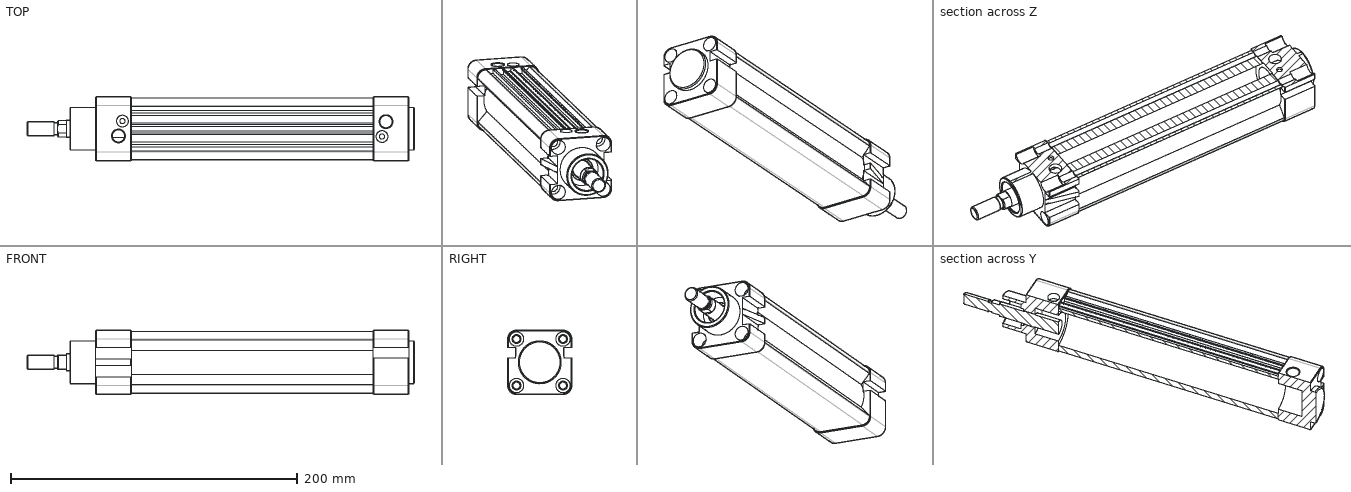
import cadquery as cq
import math


rod_projection = 48.0
body_length = 219.0
cap_length = 25.0
barrel_length = body_length - 2 * cap_length
front_collar_length = 18.0
rear_collar_length = 4.0
front_cap_start = rod_projection
barrel_start = front_cap_start + cap_length
rear_cap_start = barrel_start + barrel_length
rear_cap_end = rear_cap_start + cap_length

cap_half = 22.5
cap_corner_radius = 6.25
cap_chamfer = 0.5
collar_diameter = 30.0
collar_chamfer = 0.6
rear_collar_chamfer = 0.8
chamber_diameter = 24.0
chamber_length = 18.0

screw_offset = cap_half - cap_corner_radius
screw_hole_diameter = 6.2
screw_recess_diameter = 10.0
barrel_hole_diameter = 4.8
screw_recess_depth = 14.0

side_floor = 16.8
slot_top = 10.2
rear_slot_bottom = 3.1
rib_half_width = 2.2

port_diameter = 8.6
port_chamfer = 0.5
port_from_face = 16.0
port_offset = 5.0
cushion_recess_diameter = 8.2
cushion_recess_depth = 5.0
cushion_hole_diameter = 3.6
cushion_hole_depth = 9.0
cushion_from_face = 18.8
cushion_offset = 5.4

recess_diameter = 22.8
recess_depth = 14.0
recess_chamfer = 0.6
seal_seat_diameter = 15.6
seal_seat_depth = 2.0
rod_relief_diameter = 13.0
rod_relief_depth = 1.0

rod_diameter = 12.0
thread_diameter = 10.0
thread_length = 19.0
thread_chamfer = 0.8
neck_diameter = 8.6
shoulder_start = 21.4
shoulder_diameter = 11.7
shoulder_end = 27.6
shoulder_chamfer = 0.7
flats_width = 10.0

bore_diameter = 32.0
barrel_half = 21.7
barrel_corner_radius = barrel_half - screw_offset
waist_radius = 17.5
side_lip = 15.6
waist_joint = 8.4
waist_joint_y = math.sqrt(waist_radius**2 - waist_joint**2)
trough_lip = 15.6
trough_bottom = 12.8
trough_depth = trough_lip - trough_bottom
land_edge = 10.9
sensor_slot_offset = 6.6
sensor_slot_mouth = 5.4
sensor_slot_width = 6.8
sensor_slot_lip = 1.0
sensor_slot_floor = 17.4
centre_groove_half = 3.0
centre_groove_floor_half = 1.5
centre_groove_bevel = centre_groove_half - centre_groove_floor_half
centre_groove_depth = 2.4


def axial_cylinder(diameter, start, length):
    return cq.Workplane("YZ", origin=(start, 0, 0)).circle(diameter / 2).extrude(length)


def box_between(x_range, y_range, z_range):
    corner = (x_range[0], y_range[0], z_range[0])
    size = (x_range[1] - x_range[0], y_range[1] - y_range[0], z_range[1] - z_range[0])
    return cq.Workplane("XY").box(*size, centered=False).translate(corner)


def corner_holes(diameter, start, length):
    return (
        cq.Workplane("YZ", origin=(start, 0, 0))
        .rect(2 * screw_offset, 2 * screw_offset, forConstruction=True)
        .vertices()
        .circle(diameter / 2)
        .extrude(length)
    )


def cap_block(start):
    side = 2 * cap_half
    block = cq.Workplane("YZ", origin=(start, 0, 0)).rect(side, side).extrude(cap_length)
    return block.edges("|X").fillet(cap_corner_radius).faces("<X or >X").chamfer(cap_chamfer)


def both_sides(shape):
    return shape.union(shape.mirror("XZ"))


def side_slot(start, z_bottom, z_top):
    x_range = (start, start + cap_length)
    return both_sides(box_between(x_range, (side_floor, cap_half), (z_bottom, z_top)))


def top_hole(x, y, diameter, floor):
    return cq.Workplane("XY", origin=(x, y, floor)).circle(diameter / 2).extrude(cap_half - floor)


def cut_top_holes(cap, face, inward):
    """Cut the port and the cushion screw; inward is +1 or -1, the way from the cap face into the cap."""
    port_x = face + inward * port_from_face
    cushion_x = face + inward * cushion_from_face
    cushion_y = inward * cushion_offset
    recess_floor = cap_half - cushion_recess_depth
    hole_floor = cap_half - cushion_hole_depth
    port_y = -inward * port_offset
    mouth = (
        cq.Workplane("XY", origin=(port_x, port_y, cap_half))
        .circle(port_diameter / 2 + port_chamfer)
        .extrude(-port_chamfer, taper=45)
    )
    cap = cap.cut(top_hole(port_x, port_y, port_diameter, 0))
    cap = cap.cut(mouth)
    cap = cap.cut(top_hole(cushion_x, cushion_y, cushion_recess_diameter, recess_floor))
    return cap.cut(top_hole(cushion_x, cushion_y, cushion_hole_diameter, hole_floor))


def side_rib():
    """Rib that rises from the slot floor at the front face to the full cap width at the barrel."""
    ramp = (
        cq.Workplane("XY", origin=(0, 0, -rib_half_width))
        .polyline([
            (front_cap_start, side_floor),
            (barrel_start, side_floor),
            (barrel_start, cap_half),
        ])
        .close()
        .extrude(2 * rib_half_width)
    )
    return both_sides(ramp).intersect(cap_block(front_cap_start))


def recess_mouth(face):
    mouth_radius = recess_diameter / 2 + recess_chamfer
    return cq.Workplane("YZ", origin=(face, 0, 0)).circle(mouth_radius).extrude(recess_chamfer, taper=45)


def make_front_cap():
    collar_start = front_cap_start - front_collar_length
    collar = axial_cylinder(collar_diameter, collar_start, front_collar_length)
    cap = cap_block(front_cap_start)
    cap = cap.cut(side_slot(front_cap_start, -slot_top, slot_top)).union(side_rib())
    cap = cap.union(collar.faces("<X").chamfer(collar_chamfer))
    cap = cap.cut(axial_cylinder(recess_diameter, collar_start, recess_depth))
    cap = cap.cut(recess_mouth(collar_start))
    seat_start = collar_start + recess_depth
    cap = cap.cut(axial_cylinder(seal_seat_diameter, seat_start, seal_seat_depth))
    relief_start = seat_start + seal_seat_depth
    cap = cap.cut(axial_cylinder(rod_relief_diameter, relief_start, rod_relief_depth))
    cap = cap.cut(axial_cylinder(rod_diameter, collar_start, barrel_start - collar_start))
    cap = cap.cut(axial_cylinder(chamber_diameter, barrel_start - chamber_length, chamber_length))
    cap = cap.cut(corner_holes(screw_hole_diameter, front_cap_start, cap_length))
    cap = cap.cut(corner_holes(screw_recess_diameter, front_cap_start, screw_recess_depth))
    return cut_top_holes(cap, front_cap_start, 1)


def make_rear_cap():
    collar = axial_cylinder(collar_diameter, rear_cap_end, rear_collar_length)
    cap = cap_block(rear_cap_start)
    cap = cap.cut(side_slot(rear_cap_start, rear_slot_bottom, slot_top))
    cap = cap.union(collar.faces(">X").chamfer(rear_collar_chamfer))
    cap = cap.cut(axial_cylinder(chamber_diameter, rear_cap_start, chamber_length))
    cap = cap.cut(corner_holes(screw_hole_diameter, rear_cap_start, cap_length))
    recess_start = rear_cap_end - screw_recess_depth
    cap = cap.cut(corner_holes(screw_recess_diameter, recess_start, screw_recess_depth))
    return cut_top_holes(cap, rear_cap_end, -1)


def barrel_plane():
    return cq.Workplane("YZ", origin=(barrel_start, 0, 0))


def side_waist():
    """Hollow along one side, between the 45 degree flanks and the round waist."""
    return (
        barrel_plane()
        .moveTo(barrel_half, side_lip)
        .lineTo(waist_joint_y, waist_joint)
        .threePointArc((waist_radius, 0), (waist_joint_y, -waist_joint))
        .lineTo(barrel_half, -side_lip)
        .close()
        .extrude(barrel_length)
    )


def top_trough():
    """Trough beside the top corner: sloped on the outside and upright on the inside."""
    return (
        barrel_plane()
        .polyline([
            (trough_lip, barrel_half),
            (trough_bottom, barrel_half - trough_depth),
            (land_edge, barrel_half - trough_depth),
            (land_edge, barrel_half),
        ])
        .close()
        .extrude(barrel_length)
    )


def slot_layer(width, z_bottom, z_top):
    y_range = (sensor_slot_offset - width / 2, sensor_slot_offset + width / 2)
    return box_between((barrel_start, rear_cap_start), y_range, (z_bottom, z_top))


def sensor_slot():
    """T slot, wider below its lips."""
    lip_bottom = barrel_half - sensor_slot_lip
    mouth = slot_layer(sensor_slot_mouth, sensor_slot_floor, barrel_half)
    return mouth.union(slot_layer(sensor_slot_width, sensor_slot_floor, lip_bottom))


def centre_groove():
    """Groove on the middle line with bevelled upper edges."""
    floor = barrel_half - centre_groove_depth
    bevel_bottom = barrel_half - centre_groove_bevel
    return (
        barrel_plane()
        .polyline([
            (-centre_groove_half, barrel_half),
            (-centre_groove_floor_half, bevel_bottom),
            (-centre_groove_floor_half, floor),
            (centre_groove_floor_half, floor),
            (centre_groove_floor_half, bevel_bottom),
            (centre_groove_half, barrel_half),
        ])
        .close()
        .extrude(barrel_length)
    )


def make_barrel():
    side = 2 * barrel_half
    barrel = barrel_plane().rect(side, side).extrude(barrel_length)
    barrel = barrel.edges("|X").fillet(barrel_corner_radius)
    for hollow in (side_waist(), top_trough(), sensor_slot()):
        barrel = barrel.cut(both_sides(hollow))
    barrel = barrel.cut(centre_groove())
    barrel = barrel.cut(axial_cylinder(bore_diameter, barrel_start, barrel_length))
    return barrel.cut(corner_holes(barrel_hole_diameter, barrel_start, barrel_length))


def make_rod():
    shoulder = axial_cylinder(shoulder_diameter, shoulder_start, shoulder_end - shoulder_start)
    rod = shoulder.faces("<X").chamfer(shoulder_chamfer)
    across = (-rod_diameter, rod_diameter)
    for z_range in ((flats_width / 2, rod_diameter), (-rod_diameter, -flats_width / 2)):
        rod = rod.cut(box_between((shoulder_start, shoulder_end), across, z_range))
    rod = rod.union(axial_cylinder(rod_diameter, shoulder_end, barrel_start - shoulder_end))
    thread = axial_cylinder(thread_diameter, 0, thread_length).faces("<X").chamfer(thread_chamfer)
    rod = rod.union(axial_cylinder(neck_diameter, 0, shoulder_start))
    return rod.union(thread)


front_cap = make_front_cap()
barrel = make_barrel()
rear_cap = make_rear_cap()
rod = make_rod()

result = cq.Compound.makeCompound([front_cap.val(), barrel.val(), rear_cap.val(), rod.val()])